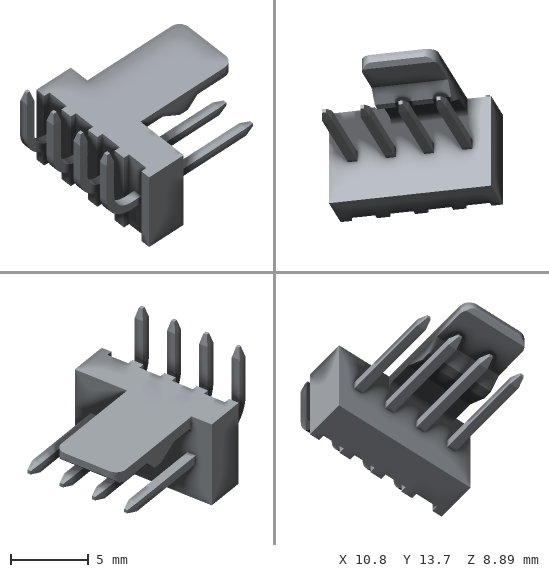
import cadquery as cq
import math


pin_count = 4
pitch = 2.55
pin_size = 0.65
pin_xs = [(i - (pin_count - 1) / 2) * pitch for i in range(pin_count)]

housing_width = 10.81
housing_depth = 3.01
housing_height = 6.35
slot_width = 1.65
slot_depth = 0.45

latch_width = 2 * pitch
latch_x = (pin_xs[0] + pin_xs[2]) / 2
latch_length = 8.11
latch_thickness = 0.85
latch_corner_radius = 0.78
latch_end_chamfer = 0.3
latch_root_fillet = 0.44
latch_underside_z = housing_height - latch_thickness

bump_drop = 0.85
bump_root_near = 1.95
bump_crest_near = 3.43
bump_crest_far = 4.13
bump_root_far = bump_crest_far + bump_drop

pin_axis_z = 3.09
pin_reach = 7.36
leg_offset = 2.56
leg_top_z = 8.89
bend_inner_radius = 1.53
bend_outer_radius = bend_inner_radius + pin_size
tip_length = 0.78
tip_width = 0.26
tip_taper = math.degrees(math.atan((pin_size - tip_width) / 2 / tip_length))
first_tip_fillet = 0.11


def make_block():
    """Plain housing block with its back face on Y = 0."""
    return cq.Workplane("XY").box(
        housing_width, housing_depth, housing_height, centered=(True, False, False)
    )


def make_latch():
    """Latch arm with its bump, chamfered end and filleted root, one side profile extruded along X."""
    root_y = housing_depth
    end_y = root_y + latch_length
    profile = (
        cq.Workplane("YZ", origin=(latch_x, 0, 0))
        .moveTo(root_y, housing_height)
        .lineTo(end_y, housing_height)
        .lineTo(end_y, latch_underside_z + latch_end_chamfer)
        .lineTo(end_y - latch_end_chamfer, latch_underside_z)
        .lineTo(root_y + bump_root_far, latch_underside_z)
        .lineTo(root_y + bump_crest_far, latch_underside_z - bump_drop)
        .lineTo(root_y + bump_crest_near, latch_underside_z - bump_drop)
        .lineTo(root_y + bump_root_near, latch_underside_z)
        .lineTo(root_y + latch_root_fillet, latch_underside_z)
        .radiusArc((root_y, latch_underside_z - latch_root_fillet), -latch_root_fillet)
        .close()
    )
    arm = profile.extrude(latch_width / 2, both=True)
    outline = (
        cq.Workplane("XY")
        .center(latch_x, root_y + latch_length / 2)
        .rect(latch_width, latch_length)
        .extrude(housing_height)
        .edges("|Z and >Y")
        .fillet(latch_corner_radius)
    )
    return arm.intersect(outline)


def make_slots():
    """Full-height slots in the back face, one behind each pin."""
    return (
        cq.Workplane("XY")
        .pushPoints([(x, slot_depth / 2) for x in pin_xs])
        .rect(slot_width, slot_depth)
        .extrude(housing_height)
    )


def make_pin_holes():
    """Square holes through the block, each filled exactly by a pin."""
    return (
        cq.Workplane("XZ")
        .pushPoints([(x, pin_axis_z) for x in pin_xs])
        .rect(pin_size, pin_size)
        .extrude(-housing_depth)
    )


def make_housing():
    return make_block().union(make_latch()).cut(make_slots()).cut(make_pin_holes())


def make_pin_bar(x):
    """Bent square bar without its tips."""
    half = pin_size / 2
    mating_end_y = housing_depth + pin_reach - tip_length
    leg_end_z = leg_top_z - tip_length
    bottom_z = pin_axis_z - half
    top_z = pin_axis_z + half
    leg_back_y = -leg_offset
    leg_front_y = leg_back_y + pin_size
    bend_y = leg_back_y + bend_outer_radius
    bend_z = bottom_z + bend_outer_radius
    return (
        cq.Workplane("YZ", origin=(x, 0, 0))
        .moveTo(mating_end_y, bottom_z)
        .lineTo(mating_end_y, top_z)
        .lineTo(bend_y, top_z)
        .radiusArc((leg_front_y, bend_z), bend_inner_radius)
        .lineTo(leg_front_y, leg_end_z)
        .lineTo(leg_back_y, leg_end_z)
        .lineTo(leg_back_y, bend_z)
        .radiusArc((bend_y, bottom_z), -bend_outer_radius)
        .close()
        .extrude(half, both=True)
    )


def add_tip(bar, end_face):
    """Grow a tapered tip on the chosen end face."""
    tip = bar.faces(end_face).wires().toPending().workplane()
    return tip.extrude(tip_length, taper=tip_taper)


def make_pin(x, rounded_leg_tip):
    """One pin; the four sloping edges of its upright tip can be rounded."""
    pin = add_tip(add_tip(make_pin_bar(x), ">Y"), ">Z")
    if rounded_leg_tip:
        tip_box = cq.selectors.BoxSelector(
            (x - pin_size, -leg_offset - pin_size, leg_top_z - tip_length),
            (x + pin_size, pin_size, leg_top_z),
        )
        pin = pin.edges(tip_box).edges("not #Z").fillet(first_tip_fillet)
    return pin


housing = make_housing()
pins = [make_pin(x, rounded_leg_tip=(x == pin_xs[0])) for x in pin_xs]

result = cq.Compound.makeCompound([housing.val(), *[pin.val() for pin in pins]])